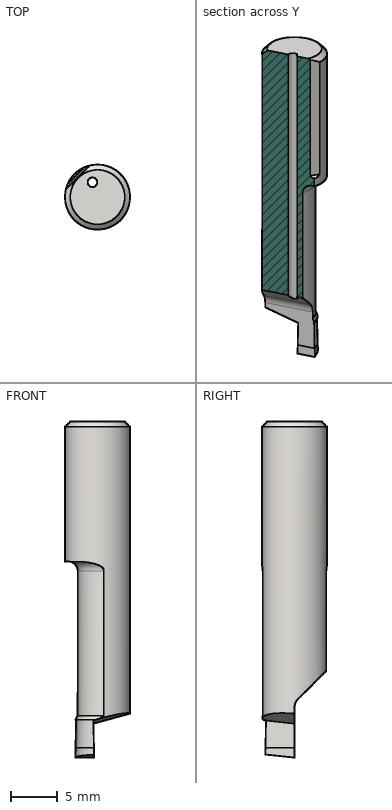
import cadquery as cq
import math

LENGTH = 36.0
RADIUS = 3.5
TOP_CHAMFER = 0.58
BLOCK = 4 * RADIUS
OVERCUT = 0.72

FLAT_DISTANCE = 3.0
FLAT_BOTTOM_Z = 21.92
FLAT_CHAMFER = 0.25
FLAT_ANGLE = 135.0

NECK_SHIFT = 1.35
NECK_TOP_Z = 21.0
NECK_TOP_FILLET = 0.97
FLARE_TOP_Z = 4.5
FLARE_BOTTOM_Z = 4.05
FLARE_WIDTH = 0.2

RELIEF_TOP_Z = 9.35
RELIEF_TOP_Y = 3.45
RELIEF_ANGLE = 45.0
RELIEF_FILLET = 1.45

UNDERSIDE_Z = 3.65
UNDERSIDE_SLOPE_X = 0.275
UNDERSIDE_SLOPE_Y = -0.11

TIP_OUTER_X = -2.3
TIP_SHOULDER_X = -2.2
TIP_SHOULDER_Y = -0.75
TIP_INNER_X = -0.45
TIP_FRONT_Y = -3.05
TIP_TAPER = 1.3
TIP_SPLIT_Z = 1.05
TIP_CLEARANCE = 6.0

HOLE_X = -0.55
HOLE_Y = 1.6
HOLE_RADIUS = 0.5


def cylinder(radius, bottom, top, x=0.0, y=0.0):
    return cq.Workplane("XY", origin=(x, y, bottom)).circle(radius).extrude(top - bottom)


def lower_half_space(normal, point):
    """Large block on the side of a plane opposite to its normal."""
    plane = cq.Plane(origin=point, normal=normal)
    return cq.Workplane(plane).rect(2 * LENGTH, 2 * LENGTH).extrude(-LENGTH)


def flat_cutter():
    cutter = (
        cq.Workplane("XY")
        .box(BLOCK, BLOCK, LENGTH, centered=(False, True, False))
        .edges("<X and <Z")
        .chamfer(FLAT_CHAMFER)
    )
    cutter = cutter.translate((FLAT_DISTANCE, 0, FLAT_BOTTOM_Z))
    return cutter.rotate((0, 0, 0), (0, 0, 1), FLAT_ANGLE)


def neck_envelope():
    """Turned shape about the shifted axis: flare, straight wall and top fillet."""
    fillet_start_z = NECK_TOP_Z - NECK_TOP_FILLET
    arc_offset = NECK_TOP_FILLET * (1 - math.sqrt(0.5))
    return (
        cq.Workplane("XZ")
        .lineTo(RADIUS + FLARE_WIDTH, 0)
        .lineTo(RADIUS + FLARE_WIDTH, FLARE_BOTTOM_Z)
        .lineTo(RADIUS, FLARE_TOP_Z)
        .lineTo(RADIUS, fillet_start_z)
        .threePointArc(
            (RADIUS + arc_offset, NECK_TOP_Z - arc_offset),
            (RADIUS + NECK_TOP_FILLET, NECK_TOP_Z),
        )
        .lineTo(0, NECK_TOP_Z)
        .close()
        .revolve(360, (0, 0, 0), (0, 1, 0))
        .translate((NECK_SHIFT, 0, 0))
    )


def relief_cutter():
    corner_z = RELIEF_TOP_Z - RELIEF_TOP_Y
    tangent_length = RELIEF_FILLET * math.tan(math.radians(RELIEF_ANGLE / 2))
    diagonal = tangent_length * math.sqrt(0.5)
    return (
        cq.Workplane("YZ", origin=(-BLOCK / 2, 0, 0))
        .moveTo(0, -OVERCUT)
        .lineTo(0, corner_z - tangent_length)
        .tangentArcPoint((diagonal, corner_z + diagonal), relative=False)
        .lineTo(BLOCK, corner_z + BLOCK)
        .lineTo(BLOCK, -OVERCUT)
        .close()
        .extrude(BLOCK)
    )


def cutting_end():
    """Tapered stem and tip together, flat at Y = 0 and with a clearance underneath."""
    shoulder_slope = (TIP_OUTER_X - TIP_SHOULDER_X) / -TIP_SHOULDER_Y
    back_y = OVERCUT
    end = (
        cq.Workplane("XY", origin=(0, 0, FLARE_BOTTOM_Z))
        .moveTo(TIP_INNER_X, back_y)
        .lineTo(TIP_OUTER_X + shoulder_slope * back_y, back_y)
        .lineTo(TIP_SHOULDER_X, TIP_SHOULDER_Y)
        .tangentArcPoint((TIP_INNER_X, TIP_FRONT_Y), relative=False)
        .close()
        .extrude(-FLARE_BOTTOM_Z, taper=-TIP_TAPER)
    )
    angle = math.radians(TIP_CLEARANCE)
    clearance = lower_half_space((0, math.sin(angle), math.cos(angle)), (0, 0, 0))
    return end.cut(relief_cutter()).cut(clearance)


def make_holder(stem):
    blank = cylinder(RADIUS, 0, LENGTH).faces(">Z").chamfer(TOP_CHAMFER)
    upper = blank.intersect(cylinder(BLOCK, NECK_TOP_Z, LENGTH))
    neck = blank.intersect(neck_envelope())

    underside = lower_half_space(
        (-UNDERSIDE_SLOPE_X, -UNDERSIDE_SLOPE_Y, 1), (TIP_INNER_X, 0, UNDERSIDE_Z)
    )
    below_flare = (
        cq.Workplane("XY", origin=(TIP_INNER_X, 0, 0))
        .box(BLOCK, BLOCK, FLARE_BOTTOM_Z, centered=(False, True, False))
        .translate((-BLOCK, 0, 0))
    )
    neck = neck.cut(underside).cut(below_flare).cut(relief_cutter())

    hole = cylinder(HOLE_RADIUS, 0, LENGTH, HOLE_X, HOLE_Y)
    return upper.union(neck).cut(flat_cutter()).cut(hole).union(stem)


end = cutting_end()
tip_zone = cylinder(BLOCK, -OVERCUT, TIP_SPLIT_Z)
cutting_tip = end.intersect(tip_zone)
holder = make_holder(end.cut(tip_zone))

result = cq.Compound.makeCompound([holder.val(), cutting_tip.val()])